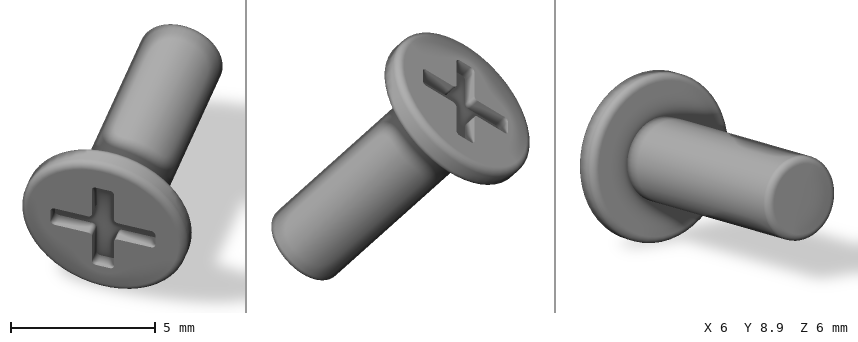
import cadquery as cq

total_length = 8.9
head_diameter = 6.0
shank_diameter = head_diameter / 2
head_thickness = 0.9
edge_radius = 0.25

recess_span = 3.8
recess_width = 0.8
recess_depth = 0.5
recess_corner_radius = 0.15

head_face_y = -total_length / 2


def cylinder_along_y(diameter, start_y, length):
    """Solid cylinder on the Y axis, growing toward +Y from start_y."""
    plane = cq.Workplane("XZ", origin=(0, start_y, 0))
    return plane.circle(diameter / 2).extrude(-length)


def make_head():
    """Disc with both rims rounded."""
    head = cylinder_along_y(head_diameter, head_face_y, head_thickness)
    return head.edges("%CIRCLE").fillet(edge_radius)


def make_shank():
    """Plain shank with a rounded free end, rooted inside the head."""
    shank = cylinder_along_y(shank_diameter, head_face_y + head_thickness / 2,
                             total_length - head_thickness / 2)
    return shank.faces(">Y").edges().fillet(edge_radius)


def make_recess():
    """Two crossed bars with every corner along Y rounded."""
    plane = cq.Workplane("XZ", origin=(0, head_face_y, 0))
    wide_bar = plane.rect(recess_span, recess_width).extrude(-recess_depth)
    tall_bar = plane.rect(recess_width, recess_span).extrude(-recess_depth)
    return wide_bar.union(tall_bar).edges("|Y").fillet(recess_corner_radius)


result = make_head().union(make_shank()).cut(make_recess())